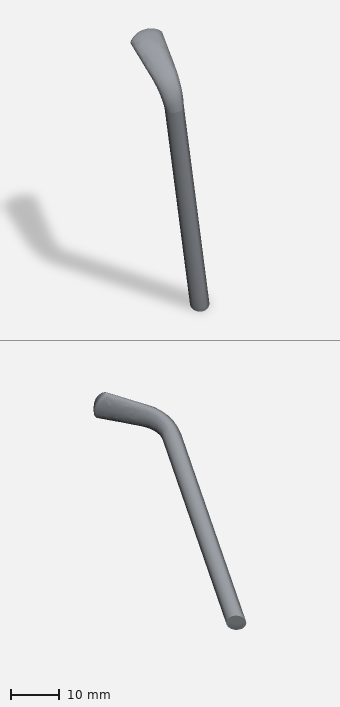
import cadquery as cq
import math

tube_diameter = 4.0
lean = 15.0
foot_x = 30.3
tube_top_z = 51.6

tip_z = 56.45
paddle_slope = 2.0
neck_x = 9.3
neck_width = 5.7
neck_height = 3.0
end_allowance = 0.6
tip_width = 7.35
tip_height = 2.85
end_bow_radius = 5.65
end_edge_radius = 0.6

bend_sections = 7

tube_radius = tube_diameter / 2
lean_rad = math.radians(lean)
slope_rad = math.radians(paddle_slope)
neck_z = tip_z - neck_x * math.tan(slope_rad)
tube_top_x = foot_x - tube_top_z * math.tan(lean_rad)


def section(x, z, fall, width, height):
    """Elliptical wire square to a centreline falling by the angle `fall` (radians)."""
    direction = cq.Vector(math.cos(fall), 0, -math.sin(fall))
    return cq.Wire.makeEllipse(
        width / 2, height / 2, cq.Vector(x, 0, z), direction, cq.Vector(0, 1, 0)
    )


def make_tube():
    overrun = tube_diameter
    length = tube_top_z / math.cos(lean_rad) + overrun
    axis = cq.Vector(math.sin(lean_rad), 0, -math.cos(lean_rad))
    top = cq.Vector(tube_top_x, 0, tube_top_z)
    tube = cq.Workplane(cq.Solid.makeCylinder(tube_radius, length, top, axis))
    below_foot = (
        cq.Workplane("XY")
        .center(foot_x, 0)
        .rect(4 * tube_diameter, 2 * tube_diameter)
        .extrude(-2 * overrun)
    )
    return tube.cut(below_foot)


def make_bend():
    """Short straight stretch, then an arc tangent to the tube; the ellipse becomes a circle."""
    end_fall = math.pi / 2 - lean_rad
    turn = end_fall - slope_rad
    rise = neck_z - tube_top_z - (tube_top_x - neck_x) * math.tan(slope_rad)
    radius = rise * math.cos(slope_rad) / (1 - math.cos(turn))
    centre_x = tube_top_x - radius * math.sin(end_fall)
    centre_z = tube_top_z - radius * math.cos(end_fall)
    arc_start_x = centre_x + radius * math.sin(slope_rad)
    straight = (arc_start_x - neck_x) / math.cos(slope_rad)
    total = straight + radius * turn

    wires = [section(neck_x, neck_z, slope_rad, neck_width, neck_height)]
    for i in range(bend_sections):
        angle = turn * i / (bend_sections - 1)
        fall = slope_rad + angle
        share = (straight + radius * angle) / total
        width = neck_width + share * (tube_diameter - neck_width)
        height = neck_height + share * (tube_diameter - neck_height)
        x = centre_x + radius * math.sin(fall)
        z = centre_z + radius * math.cos(fall)
        wires.append(section(x, z, fall, width, height))
    return cq.Workplane(cq.Solid.makeLoft(wires))


def make_paddle():
    blank_x = -end_allowance
    blank_z = tip_z + end_allowance * math.tan(slope_rad)
    tip = section(blank_x, blank_z, slope_rad, tip_width, tip_height)
    neck = section(neck_x, neck_z, slope_rad, neck_width, neck_height)
    blank = cq.Workplane(cq.Solid.makeLoft([tip, neck], True))
    half_span = 0.7 * tip_width
    bow_depth = end_bow_radius - math.sqrt(end_bow_radius**2 - half_span**2)
    plan = (
        cq.Workplane("XY")
        .moveTo(bow_depth, -half_span)
        .threePointArc((0, 0), (bow_depth, half_span))
        .lineTo(2 * neck_x, half_span)
        .lineTo(2 * neck_x, -half_span)
        .close()
        .extrude(2 * tip_z)
    )
    return blank.intersect(plan).faces("%CYLINDER").edges().fillet(end_edge_radius)


result = make_tube().union(make_bend()).union(make_paddle())